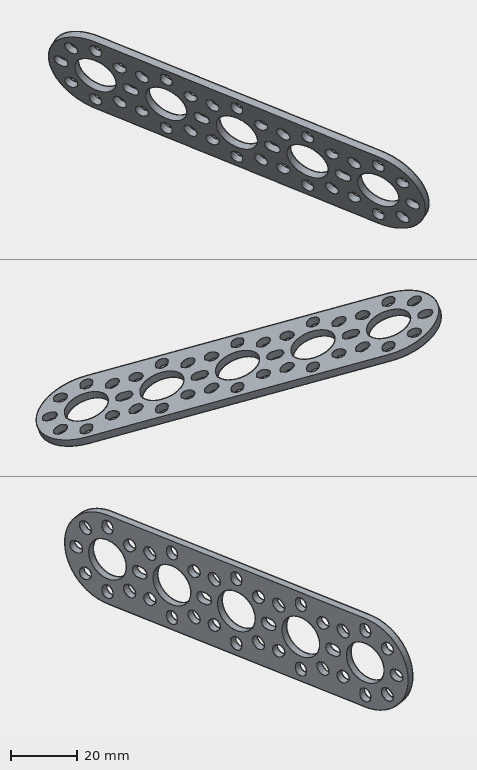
import cadquery as cq
import math

thickness = 2.5
width = 32.0
pitch = 24.0
bore_count = 5
bore_diameter = 14.0
screw_diameter = 4.0
square_side = 16.0
ring_slot_count = 8

inner_radius = square_side / math.sqrt(2)
outer_radius = pitch / 2
slot_radius = (inner_radius + outer_radius) / 2
slot_length = outer_radius - inner_radius + screw_diameter

plate_length = (bore_count - 1) * pitch + width
bore_positions = [(i - (bore_count - 1) / 2) * pitch for i in range(bore_count)]


def back_face():
    """Workplane on the +Y face, with X right and Z up; extruding runs toward -Y."""
    return cq.Workplane("XZ", origin=(0, thickness / 2, 0))


def make_plate():
    """Flat bar with fully rounded ends, centred on the origin."""
    return back_face().slot2D(plate_length, width).extrude(thickness)


def make_bores():
    """Row of large through bores along the centreline."""
    bore_centres = [(x, 0) for x in bore_positions]
    return back_face().pushPoints(bore_centres).circle(bore_diameter / 2).extrude(thickness)


def make_ring_slot(bore_x, angle):
    """One short through slot, lying radially from a bore at an angle in degrees."""
    slot_x = bore_x + slot_radius * math.cos(math.radians(angle))
    slot_z = slot_radius * math.sin(math.radians(angle))
    return (
        back_face()
        .center(slot_x, slot_z)
        .slot2D(slot_length, screw_diameter, angle)
        .extrude(thickness)
    )


result = make_plate().cut(make_bores())
for bore_x in bore_positions:
    for i in range(ring_slot_count):
        result = result.cut(make_ring_slot(bore_x, i * 360 / ring_slot_count))